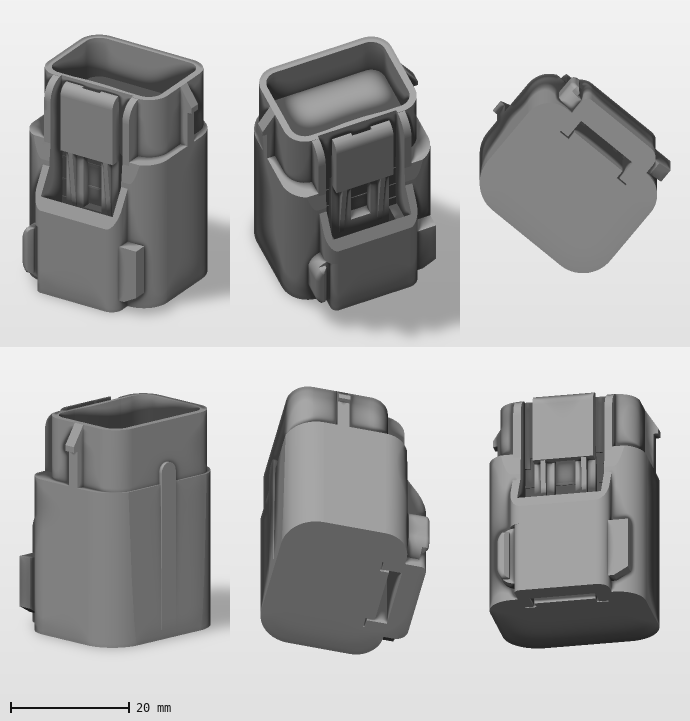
import cadquery as cq
import math

height = 37.7
back_y = 9.42
front_y = back_y - 25.25
through = 2 * height

body_half_width = 13.43
body_height = 26.9
body_front_y = -12.0
body_front_radius = 4.7
body_back_radius = 6.0
back_draft = 0.3
front_bevel_depth = 0.42
front_bevel_height = 3.85

shell_half_width = 12.0
shell_half_depth = 8.75
shell_radius = 3.75
wall = 1.2
cavity_depth = 7.3
bulge_half_width = 5.5
bulge_height = 0.3

catch_half_depth = 1.02
catch_reach = 14.25
catch_lip_z = 33.2
catch_lip_height = 1.0

key_radius = 1.66
key_centre_z = 28.9

housing_half_width = 8.53
housing_radius = 2.05
housing_wall = 1.31
bay_half_width = housing_half_width - housing_wall
bay_back_y = -8.16
bay_front_y = -14.66
rim_low_z = 15.5
rim_high_z = 22.1
side_relief_x = -7.67
side_relief_radius = 1.15
side_relief_z = 12.25

rail_front_y = -11.65
rail_bottom_z = 25.95
rail_radius = 3.6

recess_y = -7.9
recess_top_z = 25.5
recess_step_half_width = 6.24
recess_step_height = 2.0
bead_depth = 0.15
upper_bead_z = (22.05, 22.5)
lower_bead_z = (17.95, 18.3)

latch_half_width = 5.24
latch_window_half_width = 1.8
arm_front_y = -9.75
window_bottom_z = 14.9
lever_front_y = -11.62
lever_bottom_z = 25.5
lever_nose_radius = 1.87
lever_slot_depth = 0.55
shoulder_low_y = -8.6
shoulder_high_y = -9.35
shoulder_low_z = 26.0
shoulder_high_z = 26.8
gusset_inner_x = 3.09
gusset_outer_x = 3.94
gusset_bottom_z = 12.5
gusset_front_y = -11.3

seat_top_z = 13.5
block_top_z = 13.0
seat_inner_x = 5.64
seat_back_y = -8.44
seat_front_y = -11.95
block_front_y = -14.46
lip_drop = 0.3
pocket_back_y = -13.1
pocket_depth = 2.0
pocket_spans = ((-5.1, -1.75), (3.06, 5.1))

ear_radius = 2.9
ear_centre_x = side_relief_x
ear_low_z = 4.84
ear_high_z = 9.13
ear_ridge_y = -15.7
ear_ridge_inner_x = -housing_half_width
ear_ridge_trim = 0.85
ear_ridge_edge = 0.72
flange_x = 11.82
flange_bottom_x = 9.4
flange_bottom_z = 2.0
flange_slope_z = 3.4
flange_top_z = 12.15


def box(x0, x1, y0, y1, z0, z1):
    """Axis-aligned block between two corners."""
    return cq.Workplane("XY").box(x1 - x0, y1 - y0, z1 - z0, centered=False).translate((x0, y0, z0))


def side_profile(points, x0, x1):
    """Closed (y, z) outline extruded from x0 to x1."""
    return cq.Workplane("YZ").polyline(points).close().extrude(x1 - x0).translate((x0, 0, 0))


def both_sides(solid):
    """The solid together with its mirror image across X = 0."""
    return solid.union(solid.mirror("YZ"))


def make_body():
    block = box(-body_half_width, body_half_width, body_front_y, back_y, 0, body_height)
    block = block.edges("|Z and >Y").fillet(body_back_radius)
    block = block.edges("|Z and <Y").fillet(body_front_radius)
    draft = side_profile(
        [(back_y, 0), (back_y, body_height), (back_y - back_draft, body_height)],
        -body_half_width,
        body_half_width,
    )
    bevel = side_profile(
        [
            (body_front_y, body_height - front_bevel_height),
            (body_front_y, body_height),
            (body_front_y + front_bevel_depth, body_height),
        ],
        -body_half_width,
        body_half_width,
    )
    return block.cut(draft).cut(bevel)


def make_shell():
    return (
        cq.Workplane("XY")
        .rect(2 * shell_half_width, 2 * shell_half_depth)
        .extrude(height)
        .edges("|Z")
        .fillet(shell_radius)
    )


def make_cavity():
    half_depth = shell_half_depth - wall
    floor_z = height - cavity_depth
    hollow = (
        cq.Workplane("XY")
        .workplane(offset=floor_z)
        .rect(2 * (shell_half_width - wall), 2 * half_depth)
        .extrude(cavity_depth)
        .edges("|Z")
        .fillet(shell_radius - wall)
    )
    bulge = (
        cq.Workplane("XY")
        .workplane(offset=floor_z)
        .moveTo(-bulge_half_width, -half_depth)
        .threePointArc((0, -half_depth + bulge_height), (bulge_half_width, -half_depth))
        .close()
        .extrude(cavity_depth)
    )
    return hollow.cut(bulge)


def make_catches():
    lip_top_z = catch_lip_z + catch_lip_height
    root_x = shell_half_width - wall / 2
    catch = (
        cq.Workplane("XZ")
        .polyline(
            [
                (root_x, body_height / 2),
                (body_half_width, body_height / 2),
                (body_half_width, catch_lip_z),
                (catch_reach, catch_lip_z),
                (catch_reach, lip_top_z),
                (shell_half_width, height),
                (root_x, height),
            ]
        )
        .close()
        .extrude(catch_half_depth, both=True)
    )
    return both_sides(catch)


def make_key():
    stem = box(-key_radius, key_radius, 0, back_y, 0, key_centre_z)
    arch = cq.Workplane("XZ").center(0, key_centre_z).circle(key_radius).extrude(-back_y)
    return stem.union(arch).cut(make_cavity())


def make_housing():
    block = box(-housing_half_width, housing_half_width, front_y, bay_back_y, 0, rim_high_z)
    block = block.edges("|Z and <Y").fillet(housing_radius)
    slope = side_profile(
        [(front_y, rim_low_z), (front_y, rim_high_z), (body_front_y, rim_high_z)],
        -housing_half_width,
        housing_half_width,
    )
    relief = box(-housing_half_width, side_relief_x + housing_radius, front_y, body_front_y, 0, side_relief_z)
    kept_corner = box(side_relief_x, 0, front_y, body_front_y, 0, side_relief_z)
    relief = relief.cut(kept_corner.edges("|Z and <X and <Y").fillet(side_relief_radius))
    return block.cut(slope).cut(relief)


def make_rails():
    nose_z = height - rail_radius
    nose_y = rail_front_y + rail_radius
    diagonal = rail_radius * math.sqrt(0.5)
    rail = (
        cq.Workplane("YZ")
        .moveTo(nose_y, rail_bottom_z)
        .lineTo(rail_front_y, rail_bottom_z)
        .lineTo(rail_front_y, nose_z)
        .threePointArc((nose_y - diagonal, nose_z + diagonal), (nose_y, height))
        .close()
        .extrude(housing_wall)
        .translate((bay_half_width, 0, 0))
    )
    return both_sides(rail)


def make_recess():
    """Shallow recess behind the latch, with a stepped top edge and two level beads."""
    step_top_z = recess_top_z + recess_step_height
    recess = box(-bay_half_width, bay_half_width, bay_back_y, recess_y, window_bottom_z, recess_top_z)
    recess = recess.union(
        box(-recess_step_half_width, recess_step_half_width, bay_back_y, recess_y, recess_top_z, step_top_z)
    )
    for low_z, high_z in (upper_bead_z, lower_bead_z):
        recess = recess.cut(
            box(-bay_half_width, bay_half_width, recess_y - bead_depth, recess_y, low_z, high_z)
        )
    return recess


def make_latch():
    """Arm rooted in the wall behind it, with a thick press lever at its top."""
    nose_z = height - lever_nose_radius
    nose_y = lever_front_y + lever_nose_radius
    diagonal = lever_nose_radius * math.sqrt(0.5)
    latch = (
        cq.Workplane("YZ")
        .moveTo(bay_back_y, 0)
        .lineTo(arm_front_y, 0)
        .lineTo(arm_front_y, lever_bottom_z)
        .lineTo(lever_front_y, lever_bottom_z)
        .lineTo(lever_front_y, nose_z)
        .threePointArc((nose_y - diagonal, nose_z + diagonal), (nose_y, height))
        .lineTo(shoulder_high_y, shoulder_high_z)
        .lineTo(shoulder_low_y, shoulder_low_z)
        .lineTo(bay_back_y, window_bottom_z)
        .close()
        .extrude(latch_half_width, both=True)
    )
    window = box(
        -latch_window_half_width,
        latch_window_half_width,
        arm_front_y - lever_slot_depth,
        bay_back_y,
        window_bottom_z,
        height,
    )
    gusset = side_profile(
        [
            (arm_front_y, gusset_bottom_z),
            (gusset_front_y, lever_bottom_z),
            (arm_front_y, lever_bottom_z),
        ],
        gusset_inner_x,
        gusset_outer_x,
    )
    return latch.cut(window).union(both_sides(gusset))


def make_bay_floor():
    """Block along the front of the bay with two pockets, a lip behind the rim and two side seats."""
    floor = box(-bay_half_width, bay_half_width, block_front_y, seat_front_y, 0, block_top_z)
    rim_slope = (rim_high_z - rim_low_z) / (body_front_y - front_y)
    lip_z = rim_low_z + rim_slope * (bay_front_y - front_y) - lip_drop
    floor = floor.union(box(-bay_half_width, bay_half_width, bay_front_y, block_front_y, 0, lip_z))
    floor = floor.union(
        both_sides(box(seat_inner_x, bay_half_width, seat_front_y, seat_back_y, 0, seat_top_z))
    )
    pocket_floor_z = block_top_z - pocket_depth
    for x0, x1 in pocket_spans:
        floor = floor.cut(box(x0, x1, block_front_y, pocket_back_y, pocket_floor_z, block_top_z))
    return floor


def make_ear_plate(outer_y):
    """Round-ended plate from the body front out to outer_y."""
    return (
        cq.Workplane("XZ", origin=(0, body_front_y, 0))
        .moveTo(ear_centre_x, ear_low_z - ear_radius)
        .radiusArc((ear_centre_x - ear_radius, ear_low_z), ear_radius)
        .lineTo(ear_centre_x - ear_radius, ear_high_z)
        .radiusArc((ear_centre_x, ear_high_z + ear_radius), ear_radius)
        .close()
        .extrude(body_front_y - outer_y)
    )


def make_ear():
    ridge_limits = box(
        ear_centre_x - ear_radius,
        ear_ridge_inner_x,
        ear_ridge_y,
        body_front_y,
        ear_low_z - ear_radius + ear_ridge_trim,
        ear_high_z + ear_radius - ear_ridge_trim,
    )
    ridge = make_ear_plate(ear_ridge_y).intersect(ridge_limits)
    ridge = ridge.faces("<Y").edges(">X").chamfer(ear_ridge_edge)
    ridge = ridge.faces("<Y").edges("not(>X)").fillet(ear_ridge_edge)
    return make_ear_plate(block_front_y).union(ridge)


def make_flange():
    return (
        cq.Workplane("XZ", origin=(0, body_front_y, 0))
        .polyline(
            [
                (bay_half_width, flange_bottom_z),
                (flange_bottom_x, flange_bottom_z),
                (flange_x, flange_slope_z),
                (flange_x, flange_top_z),
                (bay_half_width, flange_top_z),
            ]
        )
        .close()
        .extrude(body_front_y - block_front_y)
    )


latch_bay = box(-bay_half_width, bay_half_width, bay_front_y, bay_back_y, 0, through)

result = make_body().union(make_shell()).union(make_catches()).union(make_key())
result = result.union(make_housing()).union(make_rails()).cut(make_cavity())
result = result.union(make_ear()).union(make_flange())
result = result.cut(latch_bay).cut(make_recess())
result = result.union(make_bay_floor()).union(make_latch())